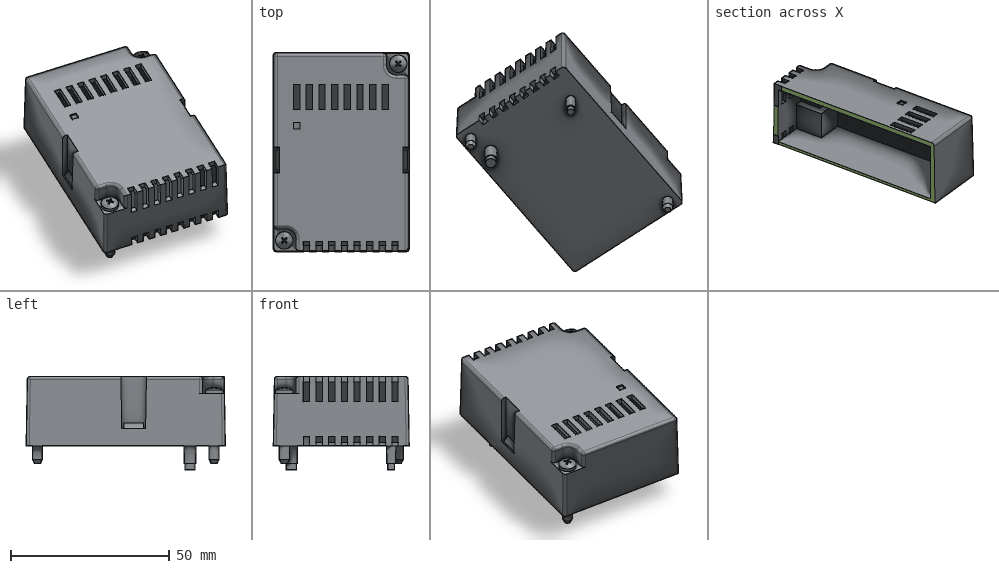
import cadquery as cq
import math

LENGTH_X = 43.0
LENGTH_Y = 63.0
HEIGHT = 22.0
DRAFT_ANGLE = 1.0
EDGE_RADIUS = 1.0
FRONT_WALL = 2.0
SIDE_WALL = 3.2
LID_THICKNESS = 1.8
FLOOR_THICKNESS = 1.1

RECESS_SIZE = 7.2
RECESS_FLOOR_Z = 16.5
RECESS_CORNER_RADIUS = 3.2
PILLAR_SIZE = 9.4
PILLAR_FOOT_SIZE = 11.8
PILLAR_FOOT_HEIGHT = 10.0
SCREW_X = 18.0
SCREW_Y = 27.9

HEAD_DIAMETER = 5.5
HEAD_RIM_HEIGHT = 1.1
HEAD_HEIGHT = 2.0
CROSS_LENGTH = 2.2
CROSS_WIDTH = 0.4
CROSS_DEPTH = 0.7
CROSS_ANGLES = (45, 135)

SLOT_COUNT = 8
SLOT_PITCH = 4.0
SLOT_WIDTH = 2.0
FRONT_SLOT_FIRST_X = -11.0
FRONT_SLOT_BOTTOM_Z = 14.0
FRONT_SLOT_DEPTH = 3.2
FOOT_SLOT_HEIGHT = 3.0
TOP_SLOT_FIRST_X = -14.1
TOP_SLOT_LENGTH = 8.0
TOP_SLOT_CENTRE_Y = 17.4

WINDOW_SIZE = 2.1
WINDOW_CENTRE_Y = 8.35
WINDOW_DEPTH = 0.5

LATCH_CENTRE_Y = -2.5
LATCH_TOP_WIDTH = 8.1
LATCH_BOTTOM_Z = 5.5
LATCH_DEPTH = 2.0
RAMP_WIDTH = 6.2
RAMP_HEIGHT = 1.8
RAMP_DEPTH = 1.4

SHANK_DIAMETER = 3.2
SHANK_TIP_DIAMETER = 1.9
SHANK_STRAIGHT_LENGTH = 4.2
SHANK_LENGTH = 5.6
PIN_X = 15.75
PIN_Y = -20.3
PIN_LENGTH = 7.55
PIN_SHOULDER_LENGTH = 5.6
LARGE_PIN_DIAMETERS = (3.9, 3.7, 3.3)
SMALL_PIN_DIAMETERS = (3.0, 2.8, 2.15)

HALF_X = LENGTH_X / 2
HALF_Y = LENGTH_Y / 2
DRAFT_SLOPE = math.tan(math.radians(DRAFT_ANGLE))
CAVITY_TOP_Z = HEIGHT - LID_THICKNESS
TOLERANCE = 0.001
UPRIGHT_MIN_LENGTH = 4.0
SCREW_CORNERS = (-1, 1)


def block(x_range, y_range, z_range):
    """Axis-aligned box between the given limits."""
    size = [high - low for low, high in (x_range, y_range, z_range)]
    corner = (x_range[0], y_range[0], z_range[0])
    return cq.Workplane("XY").box(*size, centered=False).translate(corner)


def corner_block(size, z_range, side):
    """Square block in the (-X, -Y) corner for side -1, the (+X, +Y) corner for +1."""
    low_corner = block((-HALF_X, size - HALF_X), (-HALF_Y, size - HALF_Y), z_range)
    return low_corner if side < 0 else low_corner.rotate((0, 0, 0), (0, 0, 1), 180)


def corner_recess(side):
    """Open corner pocket with one rounded inner corner."""
    pocket = corner_block(RECESS_SIZE, (RECESS_FLOOR_Z, HEIGHT), side)
    inner_edge = "<X and <Y" if side > 0 else ">X and >Y"
    return pocket.edges("|Z").edges(inner_edge).fillet(RECESS_CORNER_RADIUS)


def make_shell():
    """Drafted outer body with corner recesses and rounded outer edges."""
    body = cq.Workplane("XY").rect(LENGTH_X, LENGTH_Y).extrude(HEIGHT, taper=DRAFT_ANGLE)
    for side in SCREW_CORNERS:
        body = body.cut(corner_recess(side))
    return round_edges(body)


def round_edges(body):
    """Round the upright outer edges and the top rim, leaving the front top edge sharp."""
    front_top_y = -HALF_Y + HEIGHT * DRAFT_SLOPE
    rounded = []
    for edge in body.edges().vals():
        box = edge.BoundingBox()
        on_top = box.zmin > HEIGHT - TOLERANCE
        on_front_top = on_top and box.ymax < front_top_y + TOLERANCE
        upright = box.zlen > UPRIGHT_MIN_LENGTH
        reach_x = max(abs(box.xmin), abs(box.xmax))
        reach_y = max(abs(box.ymin), abs(box.ymax))
        on_outer_wall = reach_x > HALF_X - EDGE_RADIUS or reach_y > HALF_Y - EDGE_RADIUS
        if (on_top and not on_front_top) or (upright and on_outer_wall):
            rounded.append(edge)
    return body.newObject(rounded).fillet(EDGE_RADIUS)


def make_cavity():
    """Inner space between floor and lid, less the pillars that carry the screws."""
    inner_x = HALF_X - SIDE_WALL
    inner_y = HALF_Y - FRONT_WALL
    cavity = block((-inner_x, inner_x), (-inner_y, inner_y), (FLOOR_THICKNESS, CAVITY_TOP_Z))
    for side in SCREW_CORNERS:
        cavity = cavity.cut(corner_block(PILLAR_SIZE, (0, HEIGHT), side))
    foot = corner_block(PILLAR_FOOT_SIZE, (0, PILLAR_FOOT_HEIGHT), -1)
    return cavity.cut(foot)


def slot_row(first_x, y_range, z_range):
    """Row of equal slots along X; first_x is the centre of the first one."""
    row = cq.Workplane("XY")
    for index in range(SLOT_COUNT):
        x = first_x + index * SLOT_PITCH
        row = row.add(block((x - SLOT_WIDTH / 2, x + SLOT_WIDTH / 2), y_range, z_range))
    return row.combine()


def cut_slots(body):
    """Ventilation slots over the front top edge, at the front foot and in the lid."""
    upper_y = (-HALF_Y, FRONT_SLOT_DEPTH - HALF_Y)
    foot_y = (-HALF_Y, FRONT_WALL - HALF_Y)
    lid_y = (TOP_SLOT_CENTRE_Y - TOP_SLOT_LENGTH / 2, TOP_SLOT_CENTRE_Y + TOP_SLOT_LENGTH / 2)
    body = body.cut(slot_row(FRONT_SLOT_FIRST_X, upper_y, (FRONT_SLOT_BOTTOM_Z, HEIGHT)))
    body = body.cut(slot_row(FRONT_SLOT_FIRST_X, foot_y, (0, FOOT_SLOT_HEIGHT)))
    return body.cut(slot_row(TOP_SLOT_FIRST_X, lid_y, (CAVITY_TOP_Z, HEIGHT)))


def cut_window(body):
    """Shallow square in line with the first lid slot."""
    window = cq.Workplane("XY", origin=(TOP_SLOT_FIRST_X, WINDOW_CENTRE_Y, HEIGHT))
    return body.cut(window.rect(WINDOW_SIZE, WINDOW_SIZE).extrude(-WINDOW_DEPTH))


def latch_recess():
    """Recess in the -X wall, narrowing downwards, with a ramp at its foot."""
    back_x = LATCH_DEPTH - HALF_X
    top_half = LATCH_TOP_WIDTH / 2
    bottom_half = top_half - (HEIGHT - LATCH_BOTTOM_Z) * DRAFT_SLOPE
    outline = [
        (LATCH_CENTRE_Y - bottom_half, LATCH_BOTTOM_Z),
        (LATCH_CENTRE_Y + bottom_half, LATCH_BOTTOM_Z),
        (LATCH_CENTRE_Y + top_half, HEIGHT),
        (LATCH_CENTRE_Y - top_half, HEIGHT),
    ]
    recess = cq.Workplane("YZ", origin=(-HALF_X, 0, 0)).polyline(outline).close().extrude(LATCH_DEPTH)
    ramp = (
        cq.Workplane("XZ", origin=(0, LATCH_CENTRE_Y, 0))
        .moveTo(back_x, LATCH_BOTTOM_Z)
        .lineTo(back_x - RAMP_DEPTH, LATCH_BOTTOM_Z)
        .lineTo(back_x, LATCH_BOTTOM_Z + RAMP_HEIGHT)
        .close()
        .extrude(RAMP_WIDTH / 2, both=True)
    )
    return recess.cut(ramp)


def cut_latches(body):
    """The same latch recess on the -X and +X sides."""
    recess = latch_recess()
    return body.cut(recess).cut(recess.mirror("YZ"))


def revolved(profile):
    """Solid of revolution about Z from (radius, z) points, closed along the axis."""
    return cq.Workplane("XZ").polyline(profile).close().revolve(360, (0, 0), (0, 1))


def screw():
    """Screw with a domed, cross-slotted head on the recess floor and a shank under the housing."""
    radius = HEAD_DIAMETER / 2
    rim_z = RECESS_FLOOR_Z + HEAD_RIM_HEIGHT
    top_z = RECESS_FLOOR_Z + HEAD_HEIGHT
    dome_height = top_z - rim_z
    dome_radius = (radius**2 + dome_height**2) / (2 * dome_height)
    arc_x = radius / 2
    arc_z = top_z - dome_radius + math.sqrt(dome_radius**2 - arc_x**2)
    head = (
        cq.Workplane("XZ")
        .moveTo(0, RECESS_FLOOR_Z)
        .lineTo(radius, RECESS_FLOOR_Z)
        .lineTo(radius, rim_z)
        .threePointArc((arc_x, arc_z), (0, top_z))
        .close()
        .revolve(360, (0, 0), (0, 1))
    )
    cross = cq.Workplane("XY", origin=(0, 0, top_z))
    for angle in CROSS_ANGLES:
        bar = cross.transformed(rotate=(0, 0, angle)).rect(CROSS_LENGTH, CROSS_WIDTH)
        head = head.cut(bar.extrude(-CROSS_DEPTH))
    shank_radius = SHANK_DIAMETER / 2
    shank = revolved([
        (0, FLOOR_THICKNESS),
        (shank_radius, FLOOR_THICKNESS),
        (shank_radius, -SHANK_STRAIGHT_LENGTH),
        (SHANK_TIP_DIAMETER / 2, -SHANK_LENGTH),
        (0, -SHANK_LENGTH),
    ])
    return head, shank


def locating_pin(diameters):
    """Slightly tapered pin with a thinner end; diameters run root, shoulder, end."""
    root, shoulder, end = [diameter / 2 for diameter in diameters]
    return revolved([
        (0, FLOOR_THICKNESS),
        (root, FLOOR_THICKNESS),
        (root, 0),
        (shoulder, -PIN_SHOULDER_LENGTH),
        (end, -PIN_SHOULDER_LENGTH),
        (end, -PIN_LENGTH),
        (0, -PIN_LENGTH),
    ])


def add_screws(body):
    """One screw in each corner recess."""
    for side in SCREW_CORNERS:
        for piece in screw():
            body = body.union(piece.translate((side * SCREW_X, side * SCREW_Y, 0)))
    return body


def add_locating_pins(body):
    """A large pin on the -X side and a small one on the +X side."""
    body = body.union(locating_pin(LARGE_PIN_DIAMETERS).translate((-PIN_X, PIN_Y, 0)))
    return body.union(locating_pin(SMALL_PIN_DIAMETERS).translate((PIN_X, PIN_Y, 0)))


housing = make_shell().cut(make_cavity())
housing = cut_slots(housing)
housing = cut_window(housing)
housing = cut_latches(housing)
housing = add_screws(housing)
result = add_locating_pins(housing)